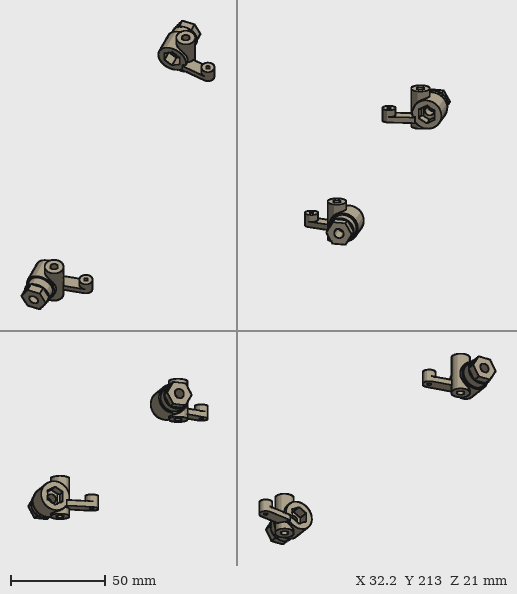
import cadquery as cq

overall_length = 213.0
overall_width = 32.2
outer_end = overall_length / 2

hub_diameter = 14.0
hex_length = 4.7
collar_length = 5.1
hub_length = hex_length + collar_length
axle_bore = 5.1

barrel_diameter = 16.0
barrel_length = 12.8
barrel_front = outer_end - hub_length
barrel_back = barrel_front - barrel_length
socket_across_corners = 10.0
socket_depth = 6.0
socket_turn = 30.0

post_diameter = 10.0
post_bore = 4.0
post_height = 21.0
post_foot = 1.0
post_bottom = -barrel_diameter / 2 - post_foot
post_x = 5.1
post_y = barrel_back + 6.5

eye_diameter = 7.0
eye_bore = 2.0
eye_height = 7.0
arm_thickness = 3.2
arm_bottom = -5.1
arm_angle = 10.0
arm_reach = overall_width - barrel_diameter / 2
eye_x = arm_reach - eye_diameter / 2
eye_y = barrel_back
arm_length = 14.0


def rod(diameter, start, length):
    """Cylinder on the axle axis, from Y = start toward +Y."""
    return (
        cq.Workplane("XZ", origin=(0, start, 0))
        .circle(diameter / 2)
        .extrude(-length)
    )


def post(x, y, bottom, diameter, height):
    """Vertical cylinder."""
    return (
        cq.Workplane("XY", origin=(x, y, bottom))
        .circle(diameter / 2)
        .extrude(height)
    )


def hexagon(across_corners, start, length):
    """Hexagonal prism on the axle axis, with corners on +X and -X."""
    return (
        cq.Workplane("XZ", origin=(0, start, 0))
        .polygon(6, across_corners)
        .extrude(-length)
    )


def make_arm():
    """Straight bar running from the eye back into the side of the barrel."""
    return (
        cq.Workplane("XY")
        .box(arm_length, eye_diameter, arm_thickness, centered=(False, True, False))
        .rotate((0, 0, 0), (0, 0, 1), 180 - arm_angle)
        .translate((eye_x, eye_y, arm_bottom))
    )


def make_hub():
    """Hub at the +Y end, with the axle bore right through it."""
    collar = rod(hub_diameter, barrel_front, collar_length)
    hex_end = hexagon(hub_diameter, barrel_front + collar_length, hex_length)
    return collar.union(hex_end).cut(rod(axle_bore, barrel_front, hub_length))


def make_knuckle():
    """Knuckle at the +Y end: barrel, kingpin post and steering arm."""
    body = (
        rod(barrel_diameter, barrel_back, barrel_length)
        .union(post(post_x, post_y, post_bottom, post_diameter, post_height))
        .union(make_arm())
        .union(post(eye_x, eye_y, arm_bottom, eye_diameter, eye_height))
    )
    socket = hexagon(socket_across_corners, barrel_back, socket_depth).rotate(
        (0, 0, 0), (0, 1, 0), socket_turn
    )
    return (
        body.cut(rod(axle_bore, barrel_back, barrel_length))
        .cut(socket)
        .cut(post(post_x, post_y, post_bottom, post_bore, post_height))
        .cut(post(eye_x, eye_y, arm_bottom, eye_bore, eye_height))
    )


bodies = []
for body in (make_knuckle(), make_hub()):
    bodies += [body.val(), body.mirror("XZ").val()]

result = cq.Compound.makeCompound(bodies)